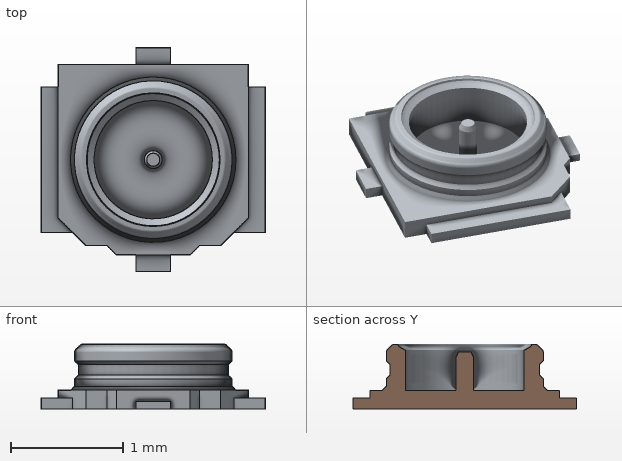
import cadquery as cq
import math

plate_half = 0.85
plate_height = 0.17
corner_cut = 0.248
nose_chamfer = 0.082
shoulder_y = nose_chamfer - plate_half
nose_half_width = 0.33

overall_half = 1.0
side_tab_length = 1.3
side_tab_height = 0.1
end_tab_width = 0.308
front_tab_height = 0.07
back_tab_height = 0.1

total_height = 0.58
collar_radius = 0.705
foot_flare = 0.035
groove_depth = 0.035
lower_band_bottom = plate_height + foot_flare
lower_band_top = 0.27
rim_band_bottom = 0.432
rim_band_top = 0.505
lower_round_mid = (0.698, 0.525)
rim_cone_bottom_radius = 0.682
rim_cone_bottom = 0.542
rim_cone_top_radius = 0.652
rim_cone_top = 0.572
rim_flat_radius = rim_cone_top_radius - (total_height - rim_cone_top) / math.tan(math.radians(22.5))

bore_radius = 0.528
bore_lip_radius = 0.595
bore_lip_depth = 0.018
bore_mouth_radius = 0.59
bore_mouth_depth = 0.055
pin_radius = 0.08
pin_top = 0.512
pin_chamfer_height = 0.048
pin_chamfer_width = 0.022


def make_plate():
    right_side = [
        (plate_half, plate_half),
        (plate_half, shoulder_y + corner_cut),
        (plate_half - corner_cut, shoulder_y),
        (nose_half_width + nose_chamfer, shoulder_y),
        (nose_half_width, -plate_half),
    ]
    left_side = [(-x, y) for x, y in reversed(right_side)]
    return cq.Workplane("XY").polyline(right_side + left_side).close().extrude(plate_height)


def make_tab(x_min, x_max, y_min, y_max, height):
    tab = cq.Workplane("XY").box(x_max - x_min, y_max - y_min, height, centered=False)
    return tab.translate((x_min, y_min, 0))


def make_side_bar():
    half_length = side_tab_length / 2
    return make_tab(-overall_half, overall_half, -half_length, half_length, side_tab_height)


def make_end_tabs():
    half_width = end_tab_width / 2
    front = make_tab(-half_width, half_width, -overall_half, 0, front_tab_height)
    back = make_tab(-half_width, half_width, 0, overall_half, back_tab_height)
    return front.union(back)


def make_collar():
    groove_radius = collar_radius - groove_depth
    return (
        cq.Workplane("XZ")
        .moveTo(bore_radius, 0)
        .lineTo(collar_radius + foot_flare, 0)
        .lineTo(collar_radius + foot_flare, plate_height)
        .lineTo(collar_radius, lower_band_bottom)
        .lineTo(collar_radius, lower_band_top)
        .lineTo(groove_radius, lower_band_top + groove_depth)
        .lineTo(groove_radius, rim_band_bottom - groove_depth)
        .lineTo(collar_radius, rim_band_bottom)
        .lineTo(collar_radius, rim_band_top)
        .threePointArc(lower_round_mid, (rim_cone_bottom_radius, rim_cone_bottom))
        .lineTo(rim_cone_top_radius, rim_cone_top)
        .tangentArcPoint((rim_flat_radius, total_height), relative=False)
        .lineTo(bore_lip_radius, total_height)
        .lineTo(bore_mouth_radius, total_height - bore_lip_depth)
        .lineTo(bore_radius, total_height - bore_mouth_depth)
        .close()
        .revolve(360, (0, 0, 0), (0, 1, 0))
    )


def make_pin():
    tip_radius = pin_radius - pin_chamfer_width
    return (
        cq.Workplane("XZ")
        .lineTo(pin_radius, 0)
        .lineTo(pin_radius, pin_top - pin_chamfer_height)
        .lineTo(tip_radius, pin_top)
        .lineTo(0, pin_top)
        .close()
        .revolve(360, (0, 0, 0), (0, 1, 0))
    )


result = (
    make_plate()
    .union(make_side_bar())
    .union(make_end_tabs())
    .union(make_collar())
    .union(make_pin())
)